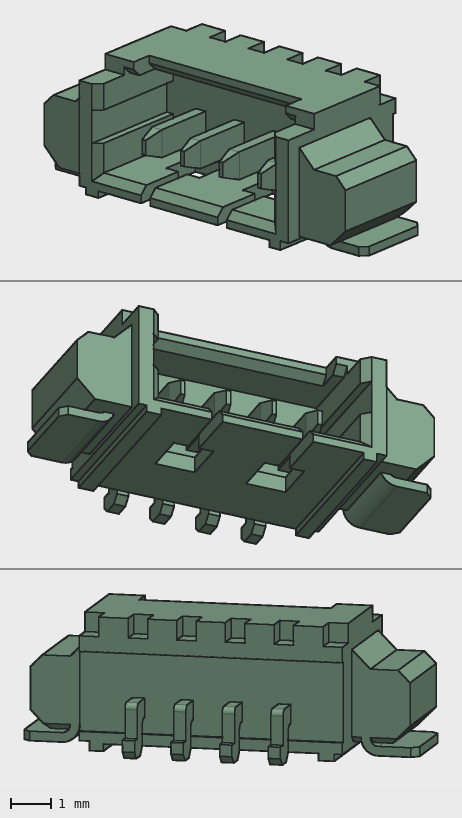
import cadquery as cq

total_width = 10.15
total_depth = 5.2

body_half = 3.38
body_depth = 4.2
body_top = 3.4
body_bottom = 0.18
right_lip_bottom = 0.24
foot_inner = 2.76
left_foot_outer = 3.17
right_foot_outer = 3.12

cavity_half = 2.76
cavity_depth = 2.93
floor_top = 0.61
lead_in = 0.21
groove_half = cavity_half + lead_in
groove_bottom = 1.4
groove_top = 2.28
side_wall_top = 2.98

roof_front = 1.02
roof_recess_half = 2.46
roof_recess_back = 1.62
notch_front = 3.59
notch_floor = 2.9
pin_notch_width = 0.5
corner_notch_width = 0.5

rear_recess = 0.09
rear_recess_bottom = 0.48
rear_recess_top = 2.51

slot_offset = 1.24
slot_width = 0.29
window_half = 0.54
window_front = 1.46
window_back = 2.61

pin_count = 4
pin_pitch = 1.25
pin_width = 0.31
blade_bottom = 0.97
blade_top = 1.72
blade_tip = 0.7
blade_taper_start = 1.22
tip_width = 0.11
tip_bottom = 1.16
tip_top = 1.55
tail_thickness = 0.49
tail_top = 1.38
tail_inner_y = 4.4
tail_outer_y = 4.91
tail_bottom_radius = 0.18
tail_top_radius = 0.15
tail_toe_height = 0.49
tail_toe_chamfer = 0.19

wing_half = 4.87
wing_front = 0.43
wing_back = 3.21
wing_bottom = 0.3
wing_top = 2.19
wing_root_top = 2.67
wing_top_chamfer = 0.3
wing_bottom_chamfer = 0.49
wing_corner_depth = 0.18
wing_corner_height = 0.15

tab_front = 0.92
tab_thickness = 0.24
tab_bend_x = 4.06
tab_bend_radius = 0.2
tab_stem_top = 1.22
tab_corner = 0.18

pin_positions = [pin_pitch * (i - (pin_count - 1) / 2) for i in range(pin_count)]


def box(x0, x1, y0, y1, z0, z1):
    """Axis-aligned block between opposite corners."""
    return cq.Workplane("XY").box(x1 - x0, y1 - y0, z1 - z0, centered=False).translate((x0, y0, z0))


def both_sides(shape):
    """The shape together with its mirror image across the middle of the width."""
    return shape.union(shape.mirror("YZ"))


def housing_block():
    block = box(-body_half, body_half, 0, body_depth, body_bottom, body_top)
    block = block.cut(box(-body_half, body_half, 0, roof_front, side_wall_top, body_top))
    block = block.cut(box(right_foot_outer, body_half, 0, body_depth, body_bottom, right_lip_bottom))
    block = block.union(box(-left_foot_outer, -foot_inner, 0, body_depth, 0, body_bottom))
    block = block.union(box(foot_inner, right_foot_outer, 0, body_depth, 0, body_bottom))
    return block.cut(
        box(-body_half, body_half, body_depth - rear_recess, body_depth, rear_recess_bottom, rear_recess_top)
    )


def cavity():
    hollow = box(-cavity_half, cavity_half, 0, cavity_depth, floor_top, side_wall_top)
    hollow = hollow.union(box(-groove_half, groove_half, 0, cavity_depth, groove_bottom, groove_top))
    mouth_bottom = floor_top - lead_in
    mouth_top = side_wall_top + lead_in
    mouth = (
        cq.Workplane("XZ", origin=(0, 0, (mouth_bottom + mouth_top) / 2))
        .rect(2 * groove_half, mouth_top - mouth_bottom)
        .extrude(-lead_in, taper=45)
    )
    return hollow.union(mouth)


def roof_lead_in(front, half_width):
    """45 degree chamfer under a front edge of the roof."""
    return (
        cq.Workplane("YZ", origin=(-half_width, 0, 0))
        .moveTo(front, side_wall_top)
        .lineTo(front, side_wall_top + lead_in)
        .lineTo(front + lead_in, side_wall_top)
        .close()
        .extrude(2 * half_width)
    )


def roof_cuts():
    cuts = box(-roof_recess_half, roof_recess_half, roof_front, roof_recess_back, side_wall_top, body_top)
    cuts = cuts.union(roof_lead_in(roof_front, cavity_half))
    cuts = cuts.union(roof_lead_in(roof_recess_back, roof_recess_half))
    corner_inner = body_half - corner_notch_width
    cuts = cuts.union(both_sides(box(corner_inner, body_half, notch_front, body_depth, notch_floor, body_top)))
    for x in pin_positions:
        left = x - pin_notch_width / 2
        cuts = cuts.union(box(left, left + pin_notch_width, notch_front, body_depth, notch_floor, body_top))
    return cuts


def floor_slots():
    """T-shaped openings through the floor: a slot from the front and a wide window behind it."""
    slot_left = slot_offset - slot_width / 2
    slot = box(slot_left, slot_left + slot_width, 0, window_front, 0, floor_top)
    window = box(slot_offset - window_half, slot_offset + window_half, window_front, window_back, 0, floor_top)
    return both_sides(slot.union(window))


def wing():
    profile = (
        cq.Workplane("XZ", origin=(0, wing_front, 0))
        .moveTo(body_half, wing_bottom)
        .lineTo(wing_half - wing_bottom_chamfer, wing_bottom)
        .lineTo(wing_half, wing_bottom + wing_bottom_chamfer)
        .lineTo(wing_half, wing_top - wing_top_chamfer)
        .lineTo(wing_half - wing_top_chamfer, wing_top)
        .lineTo(body_half + wing_root_top - wing_top, wing_top)
        .lineTo(body_half, wing_root_top)
        .close()
        .extrude(wing_front - wing_back)
    )
    rear_corner = (
        cq.Workplane("YZ", origin=(body_half, 0, 0))
        .moveTo(wing_back, wing_bottom)
        .lineTo(wing_back - wing_corner_depth, wing_bottom)
        .lineTo(wing_back, wing_bottom + wing_corner_height)
        .close()
        .extrude(wing_half - body_half)
    )
    return profile.cut(rear_corner)


def solder_tab():
    """Bent strip: a flat pad on the board with a stem rising into the wing."""
    pad_end = total_width / 2
    outer_radius = tab_bend_radius + tab_thickness
    stem_inner = tab_bend_x - outer_radius
    stem_outer = tab_bend_x - tab_bend_radius
    strip = (
        cq.Workplane("XZ", origin=(0, tab_front, 0))
        .moveTo(pad_end, 0)
        .lineTo(tab_bend_x, 0)
        .radiusArc((stem_inner, outer_radius), outer_radius)
        .lineTo(stem_inner, tab_stem_top)
        .lineTo(stem_outer, tab_stem_top)
        .lineTo(stem_outer, outer_radius)
        .radiusArc((tab_bend_x, tab_thickness), -tab_bend_radius)
        .lineTo(pad_end, tab_thickness)
        .close()
        .extrude(tab_front - wing_back)
    )
    return strip.edges("|Z and >X").chamfer(tab_corner)


def pin():
    """Contact at x = 0: tapered blade in the cavity and a bent tail behind the housing."""
    half = pin_width / 2
    blade = box(-half, half, blade_taper_start, notch_front, blade_bottom, blade_top)
    tip_centre = (tip_top + tip_bottom - blade_top - blade_bottom) / 2
    taper = (
        cq.Workplane("XZ", origin=(0, blade_taper_start, (blade_top + blade_bottom) / 2))
        .rect(pin_width, blade_top - blade_bottom)
        .workplane(offset=blade_taper_start - blade_tip)
        .center(0, tip_centre)
        .rect(tip_width, tip_top - tip_bottom)
        .loft(ruled=True)
    )
    tail_bottom = tail_top - tail_thickness
    tail = (
        cq.Workplane("YZ", origin=(-half, 0, 0))
        .moveTo(notch_front, tail_top)
        .lineTo(tail_outer_y - tail_top_radius, tail_top)
        .radiusArc((tail_outer_y, tail_top - tail_top_radius), tail_top_radius)
        .lineTo(tail_outer_y, tail_toe_height)
        .lineTo(total_depth, tail_toe_height)
        .lineTo(total_depth, tail_toe_chamfer)
        .lineTo(total_depth - tail_toe_chamfer, 0)
        .lineTo(tail_inner_y + tail_toe_chamfer, 0)
        .lineTo(tail_inner_y, tail_toe_chamfer)
        .lineTo(tail_inner_y, tail_bottom - tail_bottom_radius)
        .radiusArc((tail_inner_y - tail_bottom_radius, tail_bottom), -tail_bottom_radius)
        .lineTo(notch_front, tail_bottom)
        .close()
        .extrude(pin_width)
    )
    return blade.union(taper).union(tail)


result = housing_block().cut(cavity()).cut(roof_cuts()).cut(floor_slots())
result = result.union(both_sides(wing().union(solder_tab())))
for pin_x in pin_positions:
    result = result.union(pin().translate((pin_x, 0, 0)))